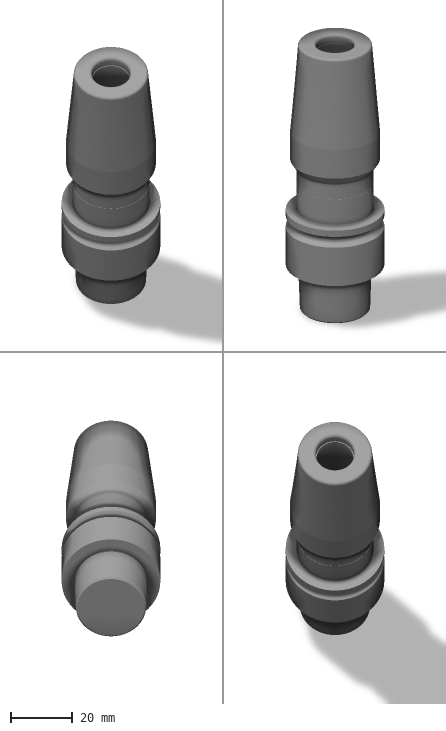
import cadquery as cq
import math

total_height = 95.9
shank_chamfer_top = 0.6
shank_taper_top = 15.0
undercut_top = 15.5
flange_bottom = 16.0
flange_height = 20.0
neck_base_height = 1.7
neck_band_height = 7.9
collar_bottom = 54.2
collar_top = 64.4
collar_bevel_height = 3.2

shank_end_radius = 10.8
shank_small_radius = 11.4
shank_large_radius = 12.0
undercut_radius = 11.7
flange_radius = 16.0
neck_radius = 12.5
neck_band_radius = 12.6
collar_radius = 14.6
nose_radius = 12.0
nose_rounding = 0.9
neck_root_rounding = 0.6

groove_center = 31.8
groove_floor_width = 0.7
groove_depth = 2.8
groove_flank_angle = 30.0
groove_flank_depth = 1.8
groove_root_bulge = 0.14

bore_radius = 5.9
mouth_radius = 6.2
mouth_depth = 3.1
mouth_rounding = 1.0
bore_depth = 36.0

flange_top = flange_bottom + flange_height
neck_band_bottom = flange_top + neck_base_height
neck_band_top = neck_band_bottom + neck_band_height


def make_body():
    """Revolve the stepped outline, with a rounded neck root, and round its nose."""
    arc_shift = neck_root_rounding * (1 - math.sqrt(0.5))
    body = (
        cq.Workplane("XZ")
        .polyline(
            [
                (0, 0),
                (shank_end_radius, 0),
                (shank_small_radius, shank_chamfer_top),
                (shank_large_radius, shank_taper_top),
                (undercut_radius, undercut_top),
                (undercut_radius, flange_bottom),
                (flange_radius, flange_bottom),
                (flange_radius, flange_top),
                (neck_radius + neck_root_rounding, flange_top),
            ]
        )
        .threePointArc(
            (neck_radius + arc_shift, flange_top + arc_shift),
            (neck_radius, flange_top + neck_root_rounding),
        )
        .lineTo(neck_radius, neck_band_bottom)
        .lineTo(neck_band_radius, neck_band_bottom)
        .lineTo(neck_band_radius, neck_band_top)
        .lineTo(neck_radius, neck_band_top)
        .lineTo(neck_radius, collar_bottom - collar_bevel_height)
        .lineTo(collar_radius, collar_bottom)
        .lineTo(collar_radius, collar_top)
        .lineTo(nose_radius, total_height)
        .lineTo(0, total_height)
        .close()
        .revolve(360, (0, 0), (0, 1))
    )
    return body.faces(">Z").edges().fillet(nose_rounding)


def make_groove():
    """Ring that cuts the V-groove: straight flanks, hollow root arcs and a narrow floor."""
    floor_radius = flange_radius - groove_depth
    root_radius = flange_radius - groove_flank_depth
    flank_slope = math.tan(math.radians(groove_flank_angle))
    half_floor = groove_floor_width / 2
    half_root = half_floor + (groove_depth - groove_flank_depth) * flank_slope
    half_opening = half_floor + groove_depth * flank_slope

    chord_angle = math.radians(groove_flank_angle)
    arc_radius = (floor_radius + root_radius) / 2 - groove_root_bulge * math.sin(chord_angle)
    half_arc = (half_floor + half_root) / 2 + groove_root_bulge * math.cos(chord_angle)
    return (
        cq.Workplane("XZ")
        .moveTo(flange_radius, groove_center - half_opening)
        .lineTo(root_radius, groove_center - half_root)
        .threePointArc(
            (arc_radius, groove_center - half_arc),
            (floor_radius, groove_center - half_floor),
        )
        .lineTo(floor_radius, groove_center + half_floor)
        .threePointArc(
            (arc_radius, groove_center + half_arc),
            (root_radius, groove_center + half_root),
        )
        .lineTo(flange_radius, groove_center + half_opening)
        .close()
        .revolve(360, (0, 0), (0, 1))
    )


def cut_bore(body):
    """Cut the blind bore and its mouth, then round the mouth's upper edge."""
    top = cq.Workplane("XY").workplane(offset=total_height)
    bore = top.circle(bore_radius).extrude(-bore_depth)
    mouth = top.circle(mouth_radius).extrude(-mouth_depth)
    bored = body.cut(bore).cut(mouth)
    mouth_edge = cq.selectors.RadiusNthSelector(0)
    return bored.faces(">Z").edges(mouth_edge).fillet(mouth_rounding)


result = cut_bore(make_body().cut(make_groove()))